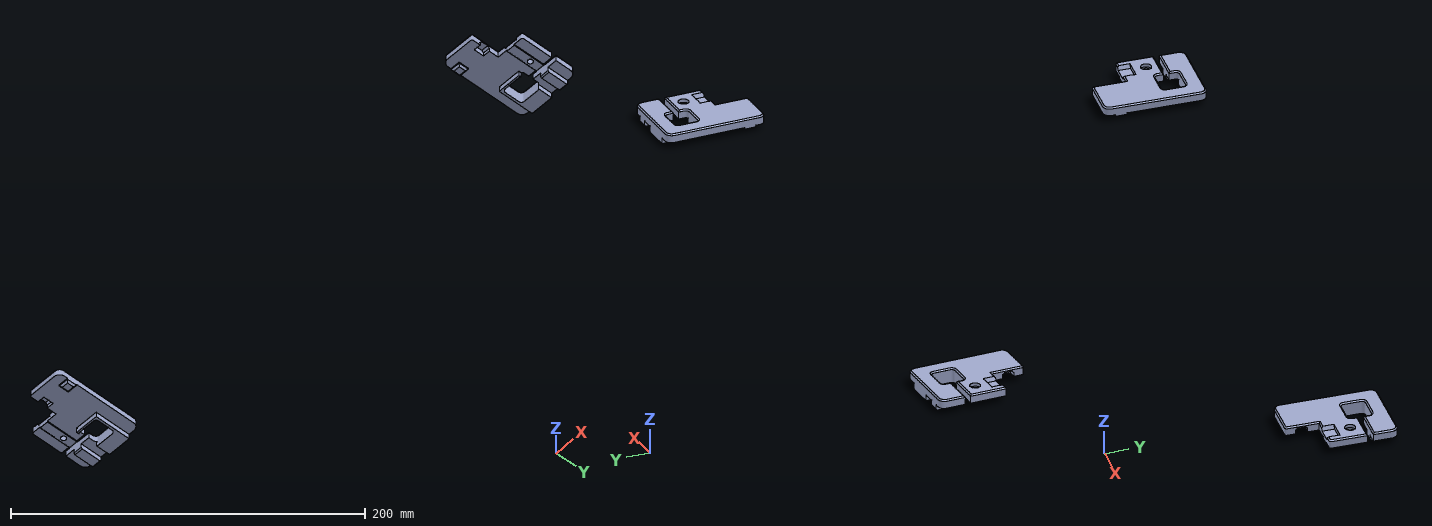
import cadquery as cq

TOTAL_LENGTH = 410.0
TOTAL_HEIGHT = 9.0

PLATE_WIDTH = 44.5
PLATE_LENGTH = 61.0
PLATE_THICKNESS = 5.5
TAB_LENGTH = 41.0
LEG_START = 20.0
LARGE_CORNER_RADIUS = 4.0
SMALL_CORNER_RADIUS = 1.2
TOP_CHAMFER = 1.0

SLOT_WIDTH = 3.3
SLOT_CENTER_Y = -17.0
WINDOW_START = 19.3
WINDOW_END = 35.0
WINDOW_LENGTH = 14.5
WINDOW_CORNER_RADIUS = 2.0

WALL_START = LEG_START
WALL_THICKNESS = 1.5
WALL_OVERRUN = 1.2

TAB_CENTER_X = 10.0
HOLE_DIAMETER = 3.4
COUNTERBORE_DIAMETER = 6.0
COUNTERBORE_DEPTH = 2.0
HOLE_Y = -26.0
NOTCH_WIDTH = 9.0
NOTCH_LENGTH = 7.5
NOTCH_DEPTH = 2.5
NOTCH_CHAMFER = 1.2
RIB_WIDTH = 6.0
RIB_DEPTH = 6.0
RAIL_CHAMFER = 1.0

FOOT_WIDTH = 7.0
FOOT_LENGTH = 7.0
FOOT_DEPTH = 7.5
FOOT_CHAMFER = 1.2
FOOT_CENTER_Y = -51.2
RECESS_REACH = 5.0
RECESS_HEIGHT = 3.5
RECESS_CHAMFER = 1.2

SLOT_FRONT_Y = SLOT_CENTER_Y - SLOT_WIDTH / 2
WINDOW_REAR_Y = SLOT_CENTER_Y + WINDOW_LENGTH / 2
WINDOW_FRONT_Y = SLOT_CENTER_Y - WINDOW_LENGTH / 2


def box_between(x_start, x_end, y_start, y_end, z_start, z_end):
    """A box given by its limits along the three axes."""
    return cq.Workplane("XY").box(
        x_end - x_start, y_end - y_start, z_end - z_start, centered=False
    ).translate((x_start, y_start, z_start))


def plate_blank():
    """The flag-shaped plate with its rounded corners."""
    blank = (
        cq.Workplane("XY")
        .polyline([
            (0, 0),
            (PLATE_WIDTH, 0),
            (PLATE_WIDTH, -PLATE_LENGTH),
            (LEG_START, -PLATE_LENGTH),
            (LEG_START, -TAB_LENGTH),
            (0, -TAB_LENGTH),
        ])
        .close()
        .extrude(-PLATE_THICKNESS)
    )
    inner_corners = blank.edges("|Z").edges(">X").fillet(LARGE_CORNER_RADIUS)
    rear_corner = cq.selectors.NearestToPointSelector((0, 0, -PLATE_THICKNESS / 2))
    rounded = inner_corners.edges(rear_corner).fillet(LARGE_CORNER_RADIUS)
    for x, y in [(0, -TAB_LENGTH), (LEG_START, -PLATE_LENGTH)]:
        corner = cq.selectors.NearestToPointSelector((x, y, -PLATE_THICKNESS / 2))
        rounded = rounded.edges(corner).fillet(SMALL_CORNER_RADIUS)
    return rounded


def window_opening():
    """The round-cornered window, cut through the plate."""
    return box_between(
        WINDOW_START, WINDOW_END, WINDOW_FRONT_Y, WINDOW_REAR_Y, -TOTAL_HEIGHT, 0
    ).edges("|Z").fillet(WINDOW_CORNER_RADIUS)


def slot_opening():
    """The slot from the outer edge into the window."""
    return box_between(
        0, WINDOW_START + WINDOW_CORNER_RADIUS,
        SLOT_FRONT_Y, SLOT_FRONT_Y + SLOT_WIDTH,
        -TOTAL_HEIGHT, 0,
    )


def window_wall():
    """The block whose rear and inner walls remain around the window."""
    return box_between(
        WALL_START, WINDOW_END + WALL_THICKNESS,
        WINDOW_FRONT_Y - WALL_OVERRUN, 0,
        -TOTAL_HEIGHT, -PLATE_THICKNESS,
    )


def rib_block(y_start, y_end, z_bottom):
    """A block under the plate, as wide as the rib and centered on the hole's line."""
    return box_between(
        TAB_CENTER_X - RIB_WIDTH / 2, TAB_CENTER_X + RIB_WIDTH / 2,
        y_start, y_end,
        z_bottom, -PLATE_THICKNESS,
    )


def tab_rib():
    """The shallow rib below the tab, from its front edge to the slot."""
    return rib_block(-TAB_LENGTH, SLOT_FRONT_Y, -RIB_DEPTH)


def rear_rail():
    """The full-depth rail behind the slot, its lower ends chamfered."""
    rail = rib_block(SLOT_FRONT_Y + SLOT_WIDTH, 0, -TOTAL_HEIGHT)
    return rail.faces("<Z").edges("|X").chamfer(RAIL_CHAMFER)


def foot():
    """The foot with a chamfered underside at the inner edge of the leg."""
    return box_between(
        PLATE_WIDTH - FOOT_WIDTH, PLATE_WIDTH,
        FOOT_CENTER_Y - FOOT_LENGTH / 2, FOOT_CENTER_Y + FOOT_LENGTH / 2,
        -FOOT_DEPTH, -PLATE_THICKNESS,
    ).faces("<Z").edges().chamfer(FOOT_CHAMFER)


def tab_notch():
    """The notch in the top of the tab's front edge, with flared sides."""
    half_floor = NOTCH_WIDTH / 2
    half_mouth = half_floor + NOTCH_CHAMFER
    return (
        cq.Workplane("XZ", origin=(TAB_CENTER_X, -TAB_LENGTH, 0))
        .polyline([
            (-half_floor, -NOTCH_DEPTH),
            (half_floor, -NOTCH_DEPTH),
            (half_mouth, 0),
            (-half_mouth, 0),
        ])
        .close()
        .extrude(-NOTCH_LENGTH)
    )


def leg_recess():
    """The recess under the outer side of the leg, level with the foot."""
    return box_between(
        LEG_START, LEG_START + RECESS_REACH,
        FOOT_CENTER_Y - FOOT_LENGTH / 2, FOOT_CENTER_Y + FOOT_LENGTH / 2,
        -PLATE_THICKNESS, RECESS_HEIGHT - PLATE_THICKNESS,
    ).faces(">Z").edges("|X").chamfer(RECESS_CHAMFER)


def mounting_plate():
    """One finished plate, its outer edge at X = 0."""
    opened = plate_blank().cut(window_opening()).cut(slot_opening())
    chamfered = opened.faces(">Z").edges().chamfer(TOP_CHAMFER)
    wall = window_wall().cut(window_opening())
    solid = chamfered.union(wall).union(tab_rib()).union(rear_rail()).union(foot())
    return (
        solid.cut(tab_notch())
        .cut(leg_recess())
        .faces(">Z")
        .workplane(origin=(TAB_CENTER_X, HOLE_Y, 0))
        .cboreHole(HOLE_DIAMETER, COUNTERBORE_DIAMETER, COUNTERBORE_DEPTH)
    )


left_plate = mounting_plate().translate((-TOTAL_LENGTH / 2, 0, 0))
right_plate = left_plate.mirror("YZ")

result = cq.Compound.makeCompound([left_plate.val(), right_plate.val()])